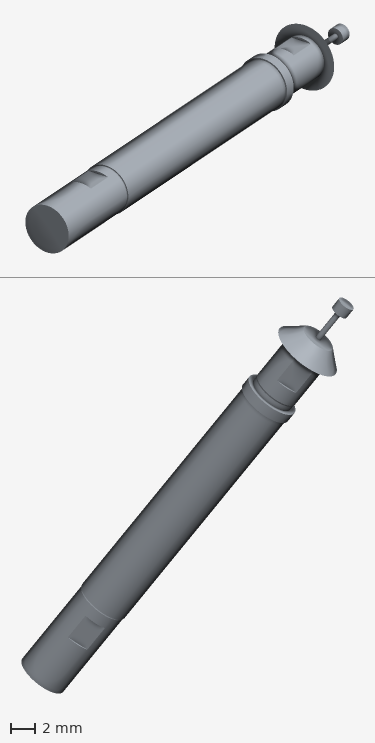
import cadquery as cq

total_length = 43.0
head_end = 1.0
cone_start = 4.0
cone_end = 5.5
neck_step = 9.9
neck_bevel = 0.15
collar_start = 10.55
collar_end = 11.5
barrel_end = 34.4
tail_bevel = 0.15

head_diameter = 1.5
stem_diameter = 0.5
cone_small_diameter = 3.0
cone_large_diameter = 6.0
neck_diameter = 4.0
neck_root_diameter = 3.9
collar_diameter = 4.8
barrel_diameter = 4.5
tail_root_diameter = 4.3
tail_diameter = 4.4

flat_length = 2.5
neck_flat_start = 5.98
neck_flat_thickness = 3.5
tail_flat_start = 35.55
tail_flat_thickness = 3.9

tip_y = total_length / 2


def turned_body():
    """Revolve the stepped profile about the Y axis."""
    stations = [
        (0, head_diameter),
        (head_end, head_diameter),
        (head_end, stem_diameter),
        (cone_start, stem_diameter),
        (cone_start, cone_small_diameter),
        (cone_end, cone_large_diameter),
        (cone_end, neck_diameter),
        (neck_step, neck_diameter),
        (neck_step + neck_bevel, neck_root_diameter),
        (collar_start, neck_root_diameter),
        (collar_start, collar_diameter),
        (collar_end, collar_diameter),
        (collar_end, barrel_diameter),
        (barrel_end, barrel_diameter),
        (barrel_end, tail_root_diameter),
        (barrel_end + tail_bevel, tail_diameter),
        (total_length, tail_diameter),
    ]
    outline = [(diameter / 2, tip_y - station) for station, diameter in stations]
    axis_ends = [(0, -tip_y), (0, tip_y)]
    return cq.Workplane("XY").polyline(outline + axis_ends).close().revolve(360, (0, 0), (0, 1))


def flat_cutters(start, thickness):
    """Two blocks that leave parallel flats the given thickness apart."""
    block_size = cone_large_diameter
    block = cq.Workplane("XY").box(block_size, flat_length, block_size)
    center_y = tip_y - start - flat_length / 2
    center_z = (thickness + block_size) / 2
    upper = block.translate((0, center_y, center_z))
    lower = block.translate((0, center_y, -center_z))
    return upper.union(lower)


result = turned_body()
for start, thickness in [
    (neck_flat_start, neck_flat_thickness),
    (tail_flat_start, tail_flat_thickness),
]:
    result = result.cut(flat_cutters(start, thickness))